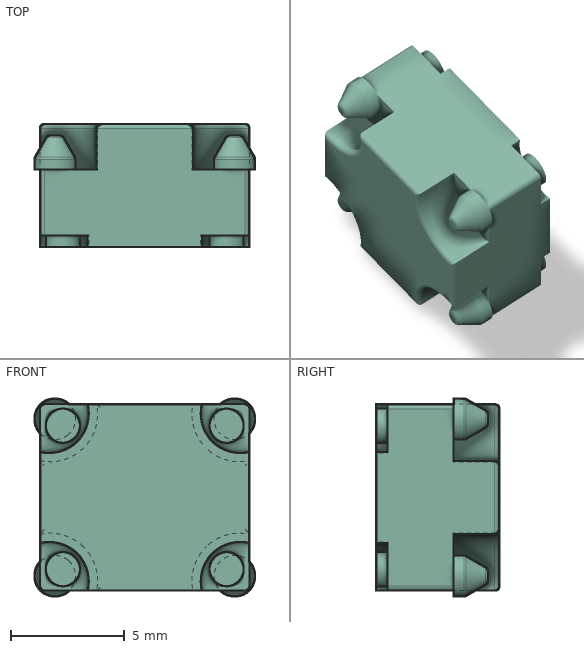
import cadquery as cq
import math

body_width = 9.21
body_height = 8.2
body_depth = 5.41
edge_radius = 0.2

recess_depth = 0.5
recess_radius = 1.75
recess_inset = 0.4
pad_diameter = 1.5
pad_x = 3.6
pad_z = 3.15

cutout_depth = 2.01
cutout_radius = 2.1
cutout_inset = 0.44

overall_width = 9.7
overall_height = 8.7
peg_radius = 0.9
peg_length = 1.5
peg_collar_length = 0.5
peg_cone_angle = 30.0
peg_edge_radius = 0.2

front_y = -body_depth / 2
back_y = body_depth / 2
recess_floor_y = front_y + recess_depth
cutout_floor_y = back_y - cutout_depth
recess_x = body_width / 2 - recess_inset
recess_z = body_height / 2 - recess_inset
cutout_x = body_width / 2 - cutout_inset
cutout_z = body_height / 2 - cutout_inset
peg_x = overall_width / 2 - peg_radius
peg_z = overall_height / 2 - peg_radius


def at_corners(x, z):
    """One point in each quadrant of the XZ plane."""
    return [(side * x, end * z) for side in (-1, 1) for end in (-1, 1)]


def corner_cylinders(x, z, radius, start_y, end_y):
    """Four cylinders along Y, one near each corner of the body."""
    plane = cq.Workplane("XZ", origin=(0, start_y, 0))
    return plane.pushPoints(at_corners(x, z)).circle(radius).extrude(start_y - end_y)


def make_body():
    """Rounded block with deep cutouts at the back and shallow recesses at the front."""
    block = cq.Workplane("XY").box(body_width, body_depth, body_height)
    block = block.edges("|Y").fillet(edge_radius)
    block = block.cut(corner_cylinders(cutout_x, cutout_z, cutout_radius, cutout_floor_y, back_y))
    block = block.faces(">Y").edges().fillet(edge_radius)
    return block.cut(corner_cylinders(recess_x, recess_z, recess_radius, front_y, recess_floor_y))


def make_peg():
    """Collar and cone along +Y from the origin, with the shoulder and tip edges rounded."""
    cone_length = peg_length - peg_collar_length
    tip_radius = peg_radius - cone_length * math.tan(math.radians(peg_cone_angle))
    half_profile = [
        (0, 0),
        (peg_radius, 0),
        (peg_radius, peg_collar_length),
        (tip_radius, peg_length),
        (0, peg_length),
    ]
    peg = cq.Workplane("XY").polyline(half_profile).close().revolve(360, (0, 0, 0), (0, 1, 0))
    return peg.edges("%CIRCLE and (not <Y)").fillet(peg_edge_radius)


result = make_body()
result = result.union(corner_cylinders(pad_x, pad_z, pad_diameter / 2, front_y, recess_floor_y))

corner_peg = make_peg()
for x, z in at_corners(peg_x, peg_z):
    result = result.union(corner_peg.translate((x, cutout_floor_y, z)))